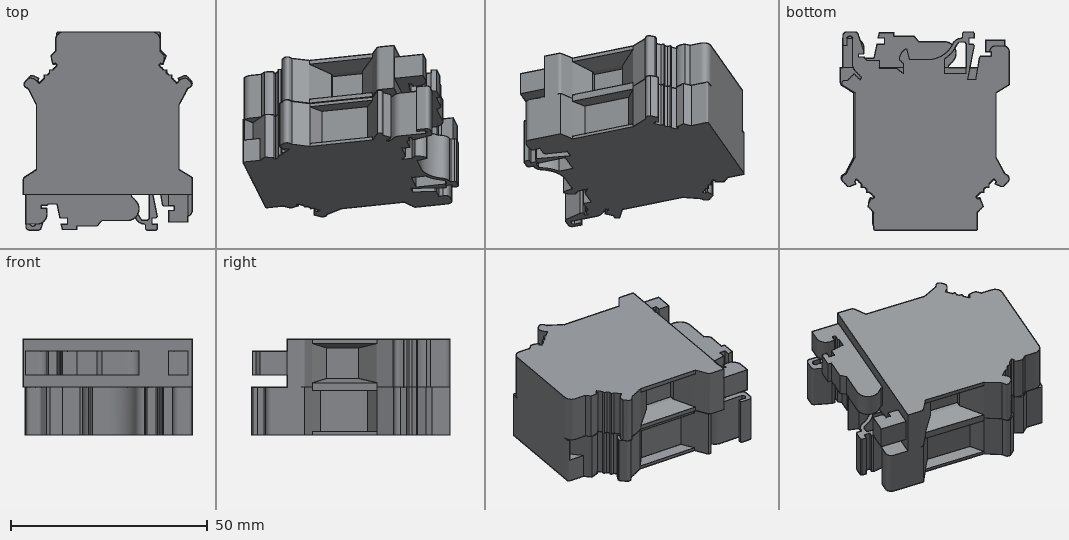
import cadquery as cq
import math


HEIGHT = 50.5
DEPTH = 24.4
SLICE = DEPTH / 2
HALF_WIDTH = 21.5

BASE_SHOULDER_Y = 13.45
BASE_SHOULDER_TOP_Y = 13.7
WAIST_BOTTOM_Y = 15.5
WAIST_TOP_Y = 31.9
NOTCH_Y = 42.0
NOTCH_X = 12.95
MARKER_FACE_RUN = 4.6
TOOTH = 0.75
TOOTH_OFFSETS = (1.15, 2.45)

UPPER_WAIST = 18.15
UPPER_BASE_Y = 9.1
UPPER_HEAD = 13.3
UPPER_HEAD_RADIUS = 2
FOOT_OVERLAP = 0.5
UPPER_FOOT = 6.05

LOWER_SHIFT = 0.2
LOWER_WAIST = 17.95
LOWER_BASE = 21.3
LOWER_BASE_Y = 12.3
LOWER_BASE_RADIUS = 0.75
LOWER_HEAD = 13.2
LOWER_HEAD_BOTTOM_Y = 45.95
LOWER_HEAD_RADIUS = 0.4
CORNER_STEP_Z = 6.25
CORNER_RECESS_Y = 48.45

UPPER_RIM = 1.1
FUNNEL_DEPTH = 4.65
FUNNEL_FLOOR_BOTTOM_Y = 19.15
FUNNEL_FLOOR_TOP_Y = 27.2
FUNNEL_FLOOR_INSET = 2.2
ENTRY_DEPTH = 1.35
LOWER_RIM = 0.85
LOWER_POCKET_DEPTH = 3.25
LOWER_FLOOR_BOTTOM_Y = 17.55
LOWER_FLOOR_TOP_Y = 29.5


def arc_point(center_x, center_y, radius, degrees):
    """Point on a circle at the given angle from +X."""
    angle = math.radians(degrees)
    return (center_x + radius * math.cos(angle), center_y + radius * math.sin(angle))


def both_sides(shape):
    """Join a shape with its mirror image about the YZ plane."""
    return shape.union(shape.mirror("YZ"))


def marker_face_points():
    """Toothed 45 degree face, from the notch below the head down to the ear."""
    points = [(NOTCH_X, NOTCH_Y)]
    for offset in TOOTH_OFFSETS:
        x = NOTCH_X + offset
        y = NOTCH_Y - offset
        points += [(x, y), (x + TOOTH, y), (x + TOOTH, y - TOOTH)]
    points.append((NOTCH_X + MARKER_FACE_RUN, NOTCH_Y - MARKER_FACE_RUN))
    return points


def head(path, half_width, radius):
    """Start an outline at the middle of the top and round the head corner."""
    center = (half_width - radius, HEIGHT - radius)
    return (
        path.moveTo(0, HEIGHT)
        .lineTo(center[0], HEIGHT)
        .threePointArc(arc_point(*center, radius, 45), (half_width, center[1]))
    )



def upper_housing():
    path = head(cq.Workplane("XY", origin=(0, 0, SLICE)), UPPER_HEAD, UPPER_HEAD_RADIUS)
    half = (
        path.lineTo(UPPER_HEAD, 45.55)
        .lineTo(14.3, 44.55)
        .threePointArc((14.3, 43.5), (13.85, 42.15))
        .lineTo(13.45, 42.5)
    )
    for point in marker_face_points():
        half = half.lineTo(*point)
    half = (
        half.lineTo(18.0, 37.9)
        .threePointArc((19.05, 38.65), (20.2, 38.65))
        .lineTo(21.1, 37.7)
        .threePointArc((21.3, 37.1), (21.05, 36.5))
        .lineTo(20.2, 35.95)
        .lineTo(UPPER_WAIST, WAIST_TOP_Y)
        .lineTo(UPPER_WAIST, WAIST_BOTTOM_Y)
        .lineTo(21.05, BASE_SHOULDER_TOP_Y)
        .threePointArc((21.35, 13.35), (HALF_WIDTH, 12.8))
        .lineTo(HALF_WIDTH, UPPER_BASE_Y)
        .lineTo(0, UPPER_BASE_Y)
        .close()
        .extrude(SLICE)
    )
    return both_sides(half)


def upper_pocket():
    """Funnel tapering in from the +X waist, ending in a short straight hole."""
    mouth_height = WAIST_TOP_Y - WAIST_BOTTOM_Y
    floor_height = FUNNEL_FLOOR_TOP_Y - FUNNEL_FLOOR_BOTTOM_Y
    mouth_center = (WAIST_TOP_Y + WAIST_BOTTOM_Y) / 2
    floor_center = (FUNNEL_FLOOR_TOP_Y + FUNNEL_FLOOR_BOTTOM_Y) / 2
    middle_z = 1.5 * SLICE
    floor_x = UPPER_WAIST - FUNNEL_DEPTH
    floor_thickness = SLICE - 2 * FUNNEL_FLOOR_INSET
    funnel = (
        cq.Workplane("YZ", origin=(floor_x, floor_center, middle_z))
        .rect(floor_height, floor_thickness)
        .workplane(offset=FUNNEL_DEPTH)
        .center(mouth_center - floor_center, 0)
        .rect(mouth_height, SLICE - 2 * UPPER_RIM)
        .loft(ruled=True)
    )
    entry = (
        cq.Workplane("YZ", origin=(floor_x, floor_center, middle_z))
        .rect(floor_height, floor_thickness)
        .extrude(-ENTRY_DEPTH)
    )
    return funnel.union(entry)


def upper_feet():
    foot_z = SLICE + (SLICE - UPPER_FOOT) / 2
    root_y = UPPER_BASE_Y + FOOT_OVERLAP
    heel = (5.0, 5.45)
    heel_radius = 3.0
    plane = cq.Workplane("XY", origin=(0, 0, foot_z))
    long_foot = (
        plane.moveTo(-20.9, root_y)
        .lineTo(-20.9, 1.6)
        .lineTo(-17.95, 1.6)
        .threePointArc((-15.95, 2.65), (-15.5, 4.8))
        .lineTo(-15.5, 5.55)
        .lineTo(-16.9, 5.55)
        .lineTo(-16.9, 6.35)
        .lineTo(-15.45, 6.35)
        .lineTo(-15.1, 6.65)
        .lineTo(-12.95, 6.65)
        .lineTo(-12.15, 3.15)
        .lineTo(-10.3, 3.15)
        .lineTo(-10.3, 1.6)
        .lineTo(-11.9, 1.6)
        .lineTo(-11.55, 0.2)
        .lineTo(-7.9, 0.2)
        .lineTo(-7.9, 1.1)
        .lineTo(-2.7, 1.1)
        .lineTo(-1.5, 2.45)
        .lineTo(heel[0], heel[1] - heel_radius)
        .threePointArc(arc_point(*heel, heel_radius, 0), arc_point(*heel, heel_radius, 45))
        .lineTo(6.05, 8.65)
        .lineTo(6.05, root_y)
        .close()
        .extrude(UPPER_FOOT)
    )
    hook_foot = (
        plane.moveTo(15.5, root_y)
        .lineTo(15.5, 6.3)
        .lineTo(16.85, 6.3)
        .lineTo(16.85, 5.1)
        .lineTo(15.5, 5.1)
        .lineTo(15.5, 2.1)
        .lineTo(20.4, 2.1)
        .lineTo(20.4, root_y)
        .close()
        .extrude(UPPER_FOOT)
    )
    return long_foot.union(hook_foot)



def lower_housing():
    path = head(cq.Workplane("XY"), LOWER_HEAD, LOWER_HEAD_RADIUS)
    half = (
        path.lineTo(LOWER_HEAD, LOWER_HEAD_BOTTOM_Y)
        .lineTo(14.7, 44.4)
        .lineTo(13.85, 42.15)
        .lineTo(13.45, 42.5)
    )
    for point in marker_face_points():
        half = half.lineTo(*point)
    corner = (LOWER_BASE - LOWER_BASE_RADIUS, LOWER_BASE_Y + LOWER_BASE_RADIUS)
    half = (
        half.lineTo(18.0, 38.1)
        .lineTo(17.7, 38.7)
        .lineTo(19.3, 39.4)
        .lineTo(19.8, 39.4)
        .lineTo(21.15, 37.95)
        .threePointArc((21.2, 36.95), (20.5, 36.3))
        .lineTo(20.2, 36.1)
        .lineTo(LOWER_WAIST, WAIST_TOP_Y)
        .lineTo(LOWER_WAIST, WAIST_BOTTOM_Y)
        .lineTo(20.95, BASE_SHOULDER_TOP_Y)
        .lineTo(LOWER_BASE, BASE_SHOULDER_Y)
        .lineTo(LOWER_BASE, corner[1])
        .threePointArc(arc_point(*corner, LOWER_BASE_RADIUS, -45), (corner[0], LOWER_BASE_Y))
        .lineTo(0, LOWER_BASE_Y)
        .close()
        .extrude(SLICE)
    )
    return both_sides(half)


def lower_pocket():
    """Straight-sided pocket in the +X waist with sloped ends."""
    floor_x = LOWER_WAIST - LOWER_POCKET_DEPTH
    return (
        cq.Workplane("XY", origin=(0, 0, LOWER_RIM))
        .moveTo(LOWER_WAIST, WAIST_TOP_Y)
        .lineTo(floor_x, LOWER_FLOOR_TOP_Y)
        .lineTo(floor_x, LOWER_FLOOR_BOTTOM_Y)
        .lineTo(LOWER_WAIST, WAIST_BOTTOM_Y)
        .close()
        .extrude(SLICE - 2 * LOWER_RIM)
    )


def head_corner_recess():
    """Recess that lengthens the 45 degree head slope into the -X top corner."""
    slope_start = (-LOWER_HEAD, LOWER_HEAD_BOTTOM_Y)
    run = CORNER_RECESS_Y - slope_start[1]
    return (
        cq.Workplane("XY", origin=(0, 0, CORNER_STEP_Z))
        .moveTo(*slope_start)
        .lineTo(slope_start[0] + run, CORNER_RECESS_Y)
        .lineTo(slope_start[0], HEIGHT - LOWER_HEAD_RADIUS)
        .close()
        .extrude(SLICE - CORNER_STEP_Z)
    )


def lower_feet():
    """Rail foot: sprung hook at -X, clip arm in the middle and a fixed hook at +X."""
    arch = (0.75, 0)
    arch_radius = 7.05
    arm = 1
    hook_shoulder = (-15.85, 8.2)
    shoulder_radius = 2.5
    root_y = BASE_SHOULDER_Y
    foot = (
        cq.Workplane("XY")
        .moveTo(-19.65, root_y)
        .lineTo(-19.65, LOWER_BASE_Y)
        .lineTo(-18.0, 10.65)
        .lineTo(-16.4, 12.2)
        .lineTo(-16.05, 11.6)
        .lineTo(*arc_point(*hook_shoulder, shoulder_radius, 135))
        .threePointArc(
            arc_point(*hook_shoulder, shoulder_radius, 157),
            arc_point(*hook_shoulder, shoulder_radius, 180),
        )
        .lineTo(-18.35, 1.6)
        .threePointArc((-19.05, 1.1), (-19.8, 1.6))
        .lineTo(-19.8, 3.5)
        .lineTo(-20.55, 3.5)
        .threePointArc((-20.75, 3.35), (-20.85, 3.1))
        .lineTo(-20.85, 1)
        .threePointArc((-20.55, 0.3), (-19.85, 0))
        .lineTo(-17.8, 0)
        .threePointArc((-17.25, 0.15), (-16.95, 0.5))
        .lineTo(-15.55, 4.8)
        .lineTo(-15.55, 5.65)
        .lineTo(-16.8, 5.65)
        .lineTo(-16.8, 6.4)
        .lineTo(-15.55, 6.4)
        .lineTo(-14.75, 7.2)
        .lineTo(-11.5, 7.2)
        .lineTo(-11.5, 9.35)
        .lineTo(-7.05, 9.35)
        .lineTo(-5.45, 10.6)
        .lineTo(-5.45, 8.1)
        .lineTo(-6.45, 7.05)
        .threePointArc((-6.0, 5.5), (-4.95, 4.4))
        .lineTo(-4.55, 4.4)
        .lineTo(-3.9, arch_radius)
        .lineTo(arch[0], arch_radius)
        .threePointArc(arc_point(*arch, arch_radius, 57), arc_point(*arch, arch_radius, 24))
        .threePointArc((8.2, 1.9), (9.35, 1.6))
        .lineTo(9.6, 1.35)
        .lineTo(9.6, 0.35)
        .lineTo(9.95, 0)
        .lineTo(12.25, 0)
        .lineTo(12.6, 0.35)
        .lineTo(12.6, 1.55)
        .lineTo(11.3, 1.55)
        .lineTo(11.3, 3.15)
        .lineTo(12.25, 3.15)
        .lineTo(12.6, 3.55)
        .lineTo(10.9, 12.1)
        .lineTo(13.0, 12.1)
        .lineTo(13.9, 6.5)
        .lineTo(14.25, 6.15)
        .lineTo(16.85, 6.15)
        .lineTo(16.85, 5.05)
        .lineTo(16.5, 5.05)
        .threePointArc((16.95, 4.0), (18.1, 3.55))
        .lineTo(20.0, 3.55)
        .threePointArc((21.05, 4.0), (HALF_WIDTH, 5.05))
        .lineTo(HALF_WIDTH, root_y)
        .close()
        .extrude(SLICE)
    )
    inner_radius = arch_radius + arm
    arm_gap = (
        cq.Workplane("XY")
        .moveTo(10.5, 10.6)
        .lineTo(10.5, 3.05)
        .lineTo(10.2, 2.65)
        .lineTo(8.7, 2.65)
        .lineTo(*arc_point(*arch, inner_radius, 26))
        .threePointArc(arc_point(*arch, inner_radius, 40), arc_point(*arch, inner_radius, 58))
        .lineTo(5.05, 10.6)
        .close()
        .extrude(SLICE)
    )
    return foot.cut(arm_gap)


upper_block = upper_housing().cut(both_sides(upper_pocket())).union(upper_feet())

lower_body = lower_housing().cut(both_sides(lower_pocket())).cut(head_corner_recess())
lower_block = lower_body.translate((LOWER_SHIFT, 0, 0)).union(lower_feet())

result = lower_block.union(upper_block)